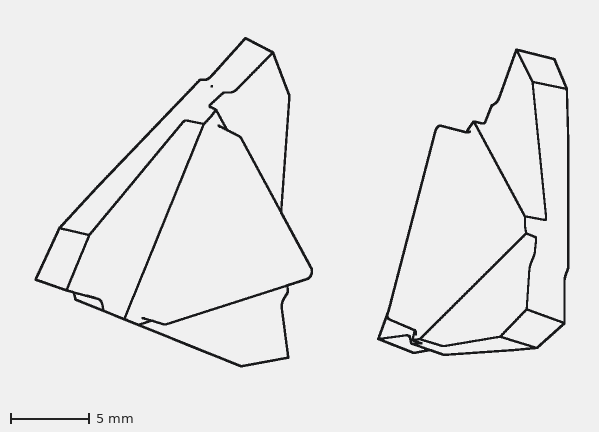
import cadquery as cq
import math


corner_count = 3
corner_step = 360 / corner_count
overall_depth = 5.54

side_angle = 0
side_distance = 7.10
nose_angle = 25.1
nose_distance = 9.768
nose_lean = 0.058
flank_angle = 124.5
flank_distance = 6.045
flank_lean = 0.031
notch_angle = 75
notch_distance = 9.38
notch_lean = 0.065
notch_root_radius = 0.75
notch_lip_radius = 0.2

back_facet_angle = 39.3
back_facet_start = 8.08
back_facet_tilt = 2.37

seat_height = 3.2
seat_fall_angle = 32.5
seat_fall_start = 4.215
seat_fall_tilt = 9
seat_fall_limit = 5.5

floor_angle = 60
floor_axis_height = 1.50
floor_tilt = 6.43
wall_angle = 30
wall_distance = 4.79
wall_lean = 0.081
pocket_root_radius = 0.12

boss_base = 2.4
boss_distance = 4.045
boss_lean = 0.04
boss_corner_radius = 0.45
boss_root_radius = 0.45
boss_rim_radius = 0.08

block = 40


def direction(angle):
    return cq.Vector(math.cos(math.radians(angle)), math.sin(math.radians(angle)))


def crossing(first, second):
    """Point where two lines, each (normal angle, distance), cross."""
    (angle_1, distance_1), (angle_2, distance_2) = first, second
    n1 = direction(angle_1)
    n2 = direction(angle_2)
    det = n1.x * n2.y - n1.y * n2.x
    return cq.Vector(
        (distance_1 * n2.y - distance_2 * n1.y) / det,
        (n1.x * distance_2 - n2.x * distance_1) / det,
    )


def outline(lines, radii, x):
    """Closed wire at X = x along the lines; radii[i] rounds the end of lines[i]."""
    count = len(lines)
    vertices = [crossing(lines[i], lines[(i + 1) % count]) for i in range(count)]
    pieces = []
    for i, vertex in enumerate(vertices):
        if radii[i] == 0:
            pieces.append([vertex])
            continue
        to_previous = (vertices[i - 1] - vertex).normalized()
        to_next = (vertices[(i + 1) % count] - vertex).normalized()
        half_angle = to_previous.getAngle(to_next) / 2
        reach = radii[i] / math.tan(half_angle)
        middle_reach = radii[i] / math.sin(half_angle) - radii[i]
        bisector = (to_previous + to_next).normalized()
        start = vertex + to_previous * reach
        middle = vertex + bisector * middle_reach
        end = vertex + to_next * reach
        pieces.append([start, middle, end])

    last = pieces[-1][-1]
    sketch = cq.Workplane("YZ", origin=(x, 0, 0)).moveTo(last.x, last.y)
    for piece in pieces:
        sketch = sketch.lineTo(piece[0].x, piece[0].y)
        if len(piece) > 1:
            sketch = sketch.threePointArc((piece[1].x, piece[1].y), (piece[2].x, piece[2].y))
    return sketch.close().wires().val()


def body_outline(x):
    lines = []
    radii = []
    for i in range(corner_count):
        turn = i * corner_step
        lines += [
            (side_angle + turn, side_distance),
            (nose_angle + turn, nose_distance - nose_lean * x),
            (flank_angle + turn, flank_distance - flank_lean * x),
            (notch_angle + turn, notch_distance - notch_lean * x),
        ]
        radii += [0, 0, notch_root_radius, notch_lip_radius]
    return outline(lines, radii, x)


def prism(outline_at, start, end):
    return cq.Workplane(cq.Solid.makeLoft([outline_at(start), outline_at(end)], True))


def half_space(point, normal):
    """Large block on the normal's side of the plane through the point."""
    plane = cq.Plane(origin=point, normal=normal)
    return cq.Workplane(plane).rect(block, block).extrude(block)


def turned(shape, angle):
    return shape.rotate((0, 0, 0), (1, 0, 0), angle)


def back_facet_cutter():
    tilt = math.radians(back_facet_tilt)
    cutter = half_space((0, back_facet_start, 0), (-math.cos(tilt), math.sin(tilt), 0))
    return turned(cutter, back_facet_angle)


def seat_fall_cutter():
    tilt = math.radians(seat_fall_tilt)
    cutter = half_space((seat_height, seat_fall_start, 0), (math.cos(tilt), math.sin(tilt), 0))
    corner_side = turned(half_space((0, seat_fall_limit, 0), (0, 1, 0)), wall_angle)
    return turned(cutter, seat_fall_angle).cut(corner_side)


def pocket_cutter():
    rise = math.tan(math.radians(floor_tilt))
    above_floor = turned(half_space((floor_axis_height, 0, 0), (1, -rise, 0)), floor_angle)
    outside_wall = turned(half_space((0, wall_distance, 0), (wall_lean, 1, 0)), wall_angle)
    cutter = above_floor.intersect(outside_wall)
    root_point = turned(cq.Workplane("XY").pushPoints([(floor_axis_height, wall_distance)]), wall_angle)
    root_edge = cq.selectors.NearestToPointSelector(root_point.val().toTuple())
    return cutter.edges(root_edge).fillet(pocket_root_radius)


def make_plate():
    """Plate with the falling seat, before the pockets are cut."""
    plate = prism(body_outline, 0, seat_height)
    for i in range(corner_count):
        plate = plate.cut(turned(seat_fall_cutter(), i * corner_step))
    return plate


def make_boss():
    height = overall_depth - boss_base
    boss = cq.Workplane("YZ", origin=(boss_base, 0, 0)).rect(block, block).extrude(height)
    for i in range(corner_count):
        outside = half_space((boss_base, boss_distance, 0), (boss_lean, 1, 0))
        boss = boss.cut(turned(outside, wall_angle + i * corner_step))
    return boss.edges("not(<X or >X)").fillet(boss_corner_radius)


def is_boss_root(edge):
    """True for the edges where the boss sides meet the seat."""
    center = edge.Center()
    in_plane = cq.Vector(center.y, center.z)
    reach = max(in_plane.dot(direction(wall_angle + i * corner_step)) for i in range(corner_count))
    return boss_base < center.x < seat_height + boss_root_radius and reach < boss_distance


def make_blank():
    """Plate and boss joined by the root fillet."""
    blank = make_plate().union(make_boss())
    root_edges = [edge for edge in blank.edges().vals() if is_boss_root(edge)]
    blank = blank.newObject(root_edges).fillet(boss_root_radius)
    return blank.faces(">X").edges().fillet(boss_rim_radius)


insert = make_blank()
for i in range(corner_count):
    insert = insert.cut(turned(pocket_cutter(), i * corner_step))
    insert = insert.cut(turned(back_facet_cutter(), i * corner_step))
result = insert